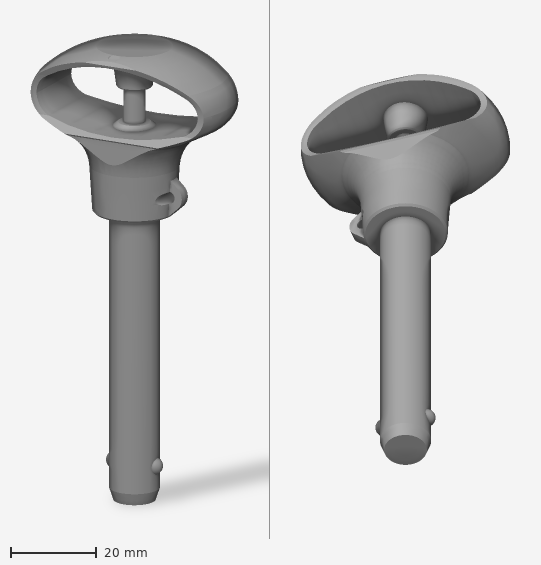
import cadquery as cq
import math


overlap = 1.0

total_length = 111.1
handle_top = 40.5
tip_bottom = handle_top - total_length

shank_radius = 6.0
tip_radius = 5.0
tip_height = 3.0
ball_radius = 2.1
ball_height_above_tip = 8.9
ball_height = tip_bottom + ball_height_above_tip
ball_reach = 7.3

collar_foot_chamfer = 0.5
collar_bottom_radius = 9.9
collar_edge_radius = 10.6
collar_edge_height = 11.4
neck_radius = 11.9
neck_height = 15.7

crown_radius = 9.0
dome_radius = 15.8
dome_height = handle_top - 2.45
shoulder_radius = 22.0
shoulder_height = handle_top - 6.7
upper_bulge_radius = 23.8
upper_bulge_height = handle_top - 9.2
rim_radius = 24.5
rim_height = handle_top - 12.1
lower_bulge_radius = 23.75
lower_bulge_height = handle_top - 15.4
flare_outer_radius = 21.0
flare_outer_height = handle_top - 18.1
flare_inner_radius = 14.9
flare_inner_height = handle_top - 21.3

lip_half_depth = 12.4
lip_height = handle_top - 1.7
lip_bevel_width = 0.6
lip_bevel_height = 0.9
waist_half_depth = 8.6
waist_height = handle_top - 12.4
waist_upper_half_depth = 9.7
waist_upper_height = handle_top - 7.4
waist_lower_half_depth = 9.3
waist_lower_height = handle_top - 17.2
foot_half_depth = 11.6
foot_height = handle_top - 20.2
flat_half_depth = 11.25
flat_height = handle_top - 20.6

opening_half_width = 21.4
opening_side_height = handle_top - 12.4
opening_top = handle_top - 2.35
opening_shoulder_x = 19.2
opening_shoulder_height = handle_top - 8.1
opening_upper_bulge_x = 20.8
opening_upper_bulge_height = handle_top - 10.0
opening_lower_bulge_x = 20.6
opening_lower_bulge_height = handle_top - 14.9
opening_corner_x = 17.9
opening_corner_height = handle_top - 17.15
opening_floor = handle_top - 19.5

button_top_radius = 5.3
button_bottom_radius = 4.3
button_bottom = handle_top - 9.9
button_edge_chamfer = 0.35
rod_radius = 2.55
seat_top_radius = 3.9
seat_bottom_radius = 5.3
seat_height = 1.0

spot_radius = 1.4
spot_offset = 10.25
spot_height = handle_top - 0.3
spot_depth = 0.15
spot_tilt = 20.0

lug_x = 10.0
lug_height = handle_top - 35.4
lug_radius = 3.35
lug_thickness = 3.0
lug_hole_radius = 1.45
lug_top_height = 9.3
lug_top_x = 10.4


def turn_about_pin_axis(profile):
    """Revolve a half profile in XZ, with the seam on -X, clear of the lug."""
    return profile.revolve(360, (0, 0), (0, 1)).rotate((0, 0, 0), (0, 0, 1), 180)


def make_handle_body():
    """Collar and mushroom-shaped handle, revolved about the pin axis."""
    profile = (
        cq.Workplane("XZ")
        .moveTo(0, 0)
        .lineTo(collar_bottom_radius - collar_foot_chamfer, 0)
        .lineTo(collar_bottom_radius, collar_foot_chamfer)
        .lineTo(collar_edge_radius, collar_edge_height)
        .threePointArc((neck_radius, neck_height), (flare_inner_radius, flare_inner_height))
        .lineTo(flare_outer_radius, flare_outer_height)
        .threePointArc((lower_bulge_radius, lower_bulge_height), (rim_radius, rim_height))
        .threePointArc((upper_bulge_radius, upper_bulge_height), (shoulder_radius, shoulder_height))
        .threePointArc((dome_radius, dome_height), (crown_radius, handle_top))
        .lineTo(0, handle_top)
        .close()
    )
    return turn_about_pin_axis(profile)


def make_depth_envelope():
    """Prism along X whose waisted front and back faces trim the handle."""
    bevel_slope = lip_bevel_width / lip_bevel_height
    crown_half_depth = lip_half_depth - (handle_top - lip_height) * bevel_slope
    half = (
        cq.Workplane("YZ")
        .moveTo(0, 0)
        .lineTo(flat_half_depth, 0)
        .lineTo(flat_half_depth, flat_height)
        .lineTo(foot_half_depth, foot_height)
        .lineTo(waist_lower_half_depth, waist_lower_height)
        .threePointArc((waist_half_depth, waist_height), (waist_upper_half_depth, waist_upper_height))
        .lineTo(lip_half_depth, lip_height)
        .lineTo(crown_half_depth, handle_top)
        .lineTo(0, handle_top)
        .close()
        .extrude(rim_radius + overlap, both=True)
    )
    return half.union(half.mirror("XZ"))


def mirrored(point):
    """Profile point reflected to the other side of the pin axis."""
    return (-point[0], point[1])


def make_finger_opening():
    """Eye-shaped opening running through the handle along Y."""
    lower_bulge = (opening_lower_bulge_x, opening_lower_bulge_height)
    upper_bulge = (opening_upper_bulge_x, opening_upper_bulge_height)
    right_corner = (opening_corner_x, opening_corner_height)
    right_side = (opening_half_width, opening_side_height)
    right_shoulder = (opening_shoulder_x, opening_shoulder_height)
    return (
        cq.Workplane("XZ")
        .moveTo(*mirrored(right_corner))
        .threePointArc((0, opening_floor), right_corner)
        .threePointArc(lower_bulge, right_side)
        .threePointArc(upper_bulge, right_shoulder)
        .threePointArc((0, opening_top), mirrored(right_shoulder))
        .threePointArc(mirrored(upper_bulge), mirrored(right_side))
        .threePointArc(mirrored(lower_bulge), mirrored(right_corner))
        .close()
        .extrude(rim_radius, both=True)
    )


def make_button():
    """Tapered button under the crown, with its rod and conical seat."""
    seat_top = opening_floor + seat_height
    seat_bottom = opening_floor - overlap
    profile = (
        cq.Workplane("XZ")
        .moveTo(0, seat_bottom)
        .lineTo(seat_bottom_radius, seat_bottom)
        .lineTo(seat_bottom_radius, opening_floor)
        .lineTo(seat_top_radius, seat_top)
        .lineTo(rod_radius, seat_top)
        .lineTo(rod_radius, button_bottom)
        .lineTo(button_bottom_radius - button_edge_chamfer, button_bottom)
        .lineTo(button_bottom_radius, button_bottom + button_edge_chamfer)
        .lineTo(button_top_radius, opening_top)
        .lineTo(0, opening_top + overlap)
        .close()
    )
    return turn_about_pin_axis(profile)


def make_shank():
    """Cylindrical shank with a tapered tip."""
    profile = (
        cq.Workplane("XZ")
        .moveTo(0, tip_bottom)
        .lineTo(tip_radius, tip_bottom)
        .lineTo(shank_radius, tip_bottom + tip_height)
        .lineTo(shank_radius, overlap)
        .lineTo(0, overlap)
        .close()
    )
    return turn_about_pin_axis(profile)


def make_ball(side):
    """Locking ball standing out of the shank on the +X or -X side."""
    ball_x = side * (ball_reach - ball_radius)
    return cq.Workplane("XY").sphere(ball_radius).translate((ball_x, 0, ball_height))


def make_lug():
    """Lanyard lug on the +X side, rounded about its hole."""
    diagonal = lug_radius * math.sqrt(0.5)
    return (
        cq.Workplane("XZ")
        .moveTo(shank_radius, collar_foot_chamfer)
        .lineTo(collar_bottom_radius, collar_foot_chamfer)
        .lineTo(lug_x + diagonal, lug_height - diagonal)
        .threePointArc((lug_x + lug_radius, lug_height), (lug_x + diagonal, lug_height + diagonal))
        .lineTo(lug_top_x, lug_top_height)
        .lineTo(shank_radius, lug_top_height)
        .close()
        .extrude(lug_thickness / 2, both=True)
    )


def make_lug_hole():
    """Lanyard hole through the lug and the collar edge along Y."""
    hole = cq.Workplane("XZ").center(lug_x, lug_height).circle(lug_hole_radius)
    return hole.extrude(lip_half_depth, both=True)


def make_spot(side):
    """Tool for a shallow round spot square to the crown slope."""
    return (
        cq.Workplane("XY")
        .circle(spot_radius)
        .extrude(overlap)
        .rotate((0, 0, 0), (1, 0, 0), -side * spot_tilt)
        .translate((0, side * spot_offset, spot_height - spot_depth))
    )


result = make_handle_body().intersect(make_depth_envelope())
result = result.cut(make_finger_opening())
result = result.union(make_lug()).cut(make_lug_hole())
result = result.union(make_button()).union(make_shank())
for side in (-1, 1):
    result = result.union(make_ball(side)).cut(make_spot(side))